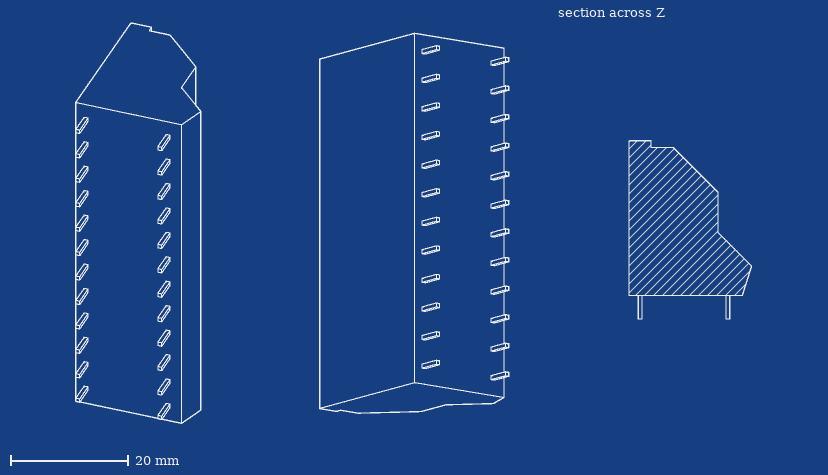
import cadquery as cq

housing_width = 21.0
housing_depth = 26.5
pole_count = 12
pole_pitch = 5.0
bottom_margin = 3.1
top_margin = 3.0
housing_length = (pole_count - 1) * pole_pitch + bottom_margin + top_margin

base_width = 19.4
lip_width = 3.8
lip_height = 1.15
lip_radius = 0.3
shoulder_x = 7.6
wall_x = 15.25
nose_y = 5.05

pin_size = 0.7
pin_length = 4.0
first_row_x = 1.93
row_spacing = 15.0


def make_housing():
    """Extrude the stepped profile over the full length of the block."""
    shoulder_y = housing_depth - lip_height
    wall_top_y = shoulder_y - (wall_x - shoulder_x)
    wall_bottom_y = nose_y + (housing_width - wall_x)
    profile = [
        (0, 0),
        (base_width, 0),
        (housing_width, nose_y),
        (wall_x, wall_bottom_y),
        (wall_x, wall_top_y),
        (shoulder_x, shoulder_y),
        (lip_width, shoulder_y),
        (lip_width, housing_depth),
        (0, housing_depth),
    ]
    housing = cq.Workplane("XY").polyline(profile).close().extrude(housing_length)
    return housing.edges("|Z").edges("<X").edges(">Y").fillet(lip_radius)


def make_pin(x, z):
    """Square pin standing out of the base in -Y, centred on x and z."""
    pin = cq.Workplane("XY").box(pin_size, pin_length, pin_size)
    return pin.translate((x, -pin_length / 2, z))


result = make_housing()
for row_x in (first_row_x, first_row_x + row_spacing):
    for pole in range(pole_count):
        result = result.union(make_pin(row_x, bottom_margin + pole * pole_pitch))